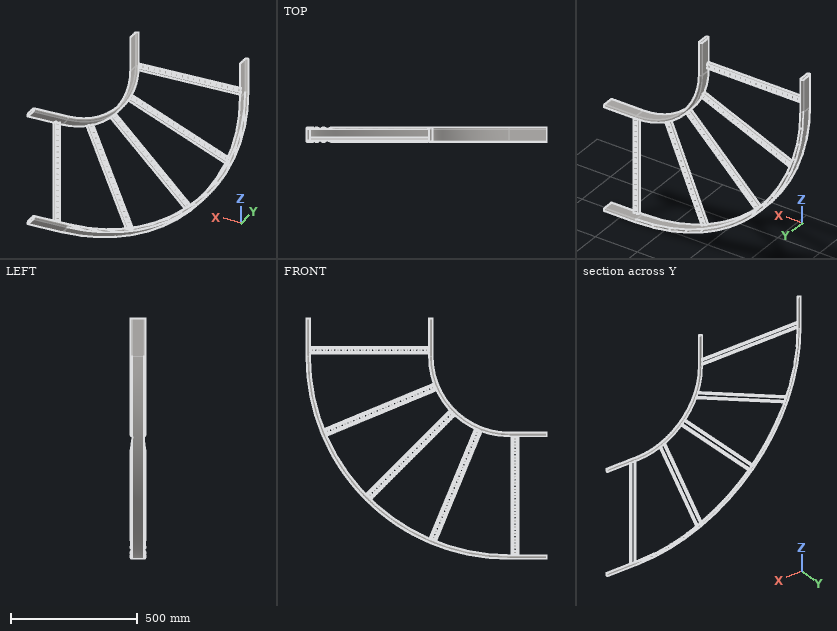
import cadquery as cq
import math


overall = 950.0
tray_width = 500.0
straight_length = 150.0

rail_height = 60.0
rail_thickness = 15.0
rail_wall = 1.4

rung_width = 28.5
rung_back_width = 21.0
rung_depth = 14.0
rung_wall = 1.4
rung_fold = 2.4
lip_depth = 5.0
rung_opening = 12.0
rung_front_gap = 6.0
leg_rung_offset = 25.0
bend_rung_angles = [22.5, 45.0, 67.5]

hole_diameter = 13.0
hole_count = 18
end_margin = 23.0

outer_rail_radius = overall - straight_length - rail_thickness / 2
inner_rail_radius = outer_rail_radius - (tray_width - rail_thickness)
rung_inner_end = inner_rail_radius + rail_thickness / 2
rung_outer_end = outer_rail_radius - rail_thickness / 2

rung_length = rung_outer_end - rung_inner_end
hole_pitch = (rung_length - 2 * end_margin) / (hole_count - 1)
rung_front = -rail_height / 2 + rung_front_gap
rung_back = rung_front + rung_depth


def rail(radius):
    """Hollow rail: a leg down to the bend, a quarter turn, and a leg out along X."""
    diagonal = radius * math.sqrt(0.5)
    path = (
        cq.Workplane("XZ")
        .moveTo(-radius, straight_length)
        .lineTo(-radius, 0)
        .threePointArc((-diagonal, -diagonal), (0, -radius))
        .lineTo(straight_length, -radius)
    )

    section = (
        cq.Workplane("XY", origin=(-radius, 0, straight_length))
        .slot2D(rail_height, rail_thickness, 90)
        .slot2D(rail_height - 2 * rail_wall, rail_thickness - 2 * rail_wall, 90)
    )
    return section.sweep(path)


def channel(start, end):
    """Channel along -X with its slot facing -Y; its lips roll inwards and back towards the web."""
    side = rung_width / 2
    back_side = rung_back_width / 2
    lip = rung_opening / 2
    bend_line = rung_front + rung_fold
    lip_end = rung_front + lip_depth
    front_skin = rung_front + rung_wall
    web_skin = rung_back - rung_wall
    half_outline = (
        cq.Workplane("YZ", origin=(-end, 0, 0))
        .moveTo(rung_back, 0)
        .lineTo(rung_back, back_side)
        .lineTo(bend_line, side)
        .radiusArc((rung_front, side - rung_fold), -rung_fold)
        .lineTo(rung_front, lip + rung_fold)
        .radiusArc((bend_line, lip), -rung_fold)
        .lineTo(lip_end, lip)
        .lineTo(lip_end, lip + rung_wall)
        .lineTo(bend_line, lip + rung_wall)
        .radiusArc((front_skin, lip + rung_fold), rung_fold - rung_wall)
        .lineTo(front_skin, side - rung_fold)
        .radiusArc((bend_line, side - rung_wall), rung_fold - rung_wall)
        .lineTo(web_skin, back_side - rung_wall)
        .lineTo(web_skin, 0)
    )
    return half_outline.mirrorX().extrude(end - start)


def web_holes():
    """Row of hole cutters, with one more at each end that the rail cuts short."""
    places = [(-(rung_inner_end + end_margin + i * hole_pitch), 0) for i in range(-1, hole_count + 1)]
    return (
        cq.Workplane("XZ", origin=(0, rung_back + rung_wall, 0))
        .pushPoints(places)
        .circle(hole_diameter / 2)
        .extrude(rung_depth / 2)
    )


def leg_rung():
    """Square-ended rung along -X."""
    return channel(rung_inner_end, rung_outer_end).cut(web_holes())


def bend_rung():
    """Rung along -X with ends curved to meet the bent rails."""
    trim = rung_width
    gap_between_rails = (
        cq.Workplane("XZ", origin=(0, rail_height / 2, 0))
        .circle(rung_outer_end)
        .circle(rung_inner_end)
        .extrude(rail_height)
    )
    blank = channel(rung_inner_end - trim, rung_outer_end + trim)
    return blank.intersect(gap_between_rails).cut(web_holes())


def turned(body, angle):
    """Turn a body about the bend centre, from -X towards -Z."""
    return body.rotate((0, 0, 0), (0, 1, 0), -angle)


rails = [rail(radius) for radius in (outer_rail_radius, inner_rail_radius)]
leg_rungs = [
    leg_rung().translate((0, 0, leg_rung_offset)),
    turned(leg_rung(), 90).translate((leg_rung_offset, 0, 0)),
]
bend_rungs = [turned(bend_rung(), angle) for angle in bend_rung_angles]

result = cq.Compound.makeCompound([body.val() for body in rails + leg_rungs + bend_rungs])